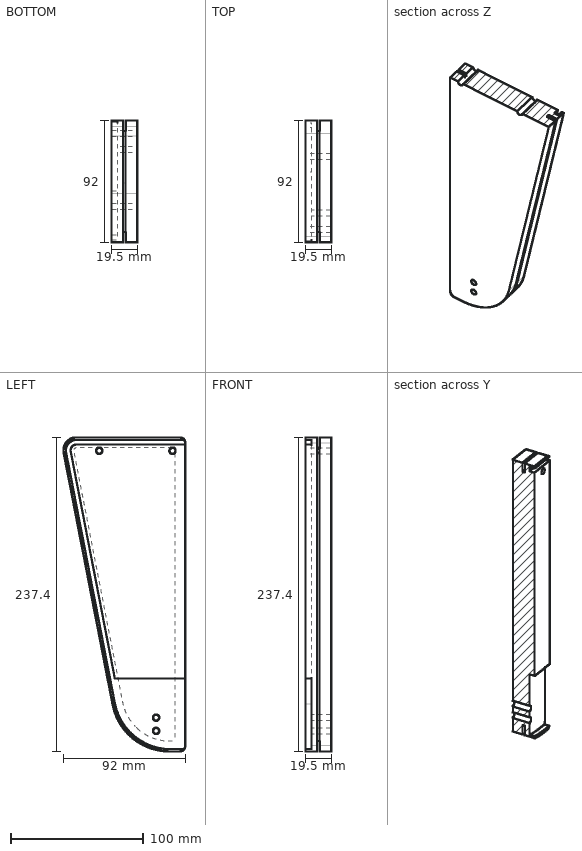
import cadquery as cq
import math

total_thickness = 19.5
total_width = 92.0
total_height = 237.4
core_gap = 2.0
plate_thickness = (total_thickness - core_gap) / 2

slant_angle = math.radians(11)
top_radius = 10.0
bottom_radius = 44.1
front_corner_radius = 4.5

rim_width = 2.0
pad_inset = 5.5
core_inset = 7.8

recess_depth = plate_thickness / 2
pad_bottom = 55.3

hole_diameter = 4.5
top_hole_drop = 10.2
top_hole_ys = (9.7, 65.0)
bottom_hole_y = 22.0
bottom_hole_z = 15.7
bottom_hole_spacing = 10.0

normal_y = math.cos(slant_angle)
normal_z = -math.sin(slant_angle)
top_center = (total_width - top_radius, total_height - top_radius)
bottom_center_z = bottom_radius
bottom_center_y = (
    top_center[0]
    + (top_radius - bottom_radius + normal_z * (top_center[1] - bottom_center_z)) / normal_y
)
bottom_center = (bottom_center_y, bottom_center_z)


def arc_point(center, radius, angle):
    """Point on an arc, with the angle measured from +Y towards +Z."""
    return (center[0] + radius * math.cos(angle), center[1] + radius * math.sin(angle))


def slab(x_start, thickness, inset, front_y):
    """Plate outline moved inwards by inset, with its straight edge at front_y."""
    upper = top_radius - inset
    lower = bottom_radius - inset
    top_middle = (math.pi / 2 - slant_angle) / 2
    bottom_middle = (-math.pi / 2 - slant_angle) / 2
    return (
        cq.Workplane("YZ", origin=(x_start, 0, 0))
        .moveTo(front_y, inset)
        .lineTo(bottom_center[0], inset)
        .threePointArc(
            arc_point(bottom_center, lower, bottom_middle),
            arc_point(bottom_center, lower, -slant_angle),
        )
        .lineTo(*arc_point(top_center, upper, -slant_angle))
        .threePointArc(
            arc_point(top_center, upper, top_middle),
            arc_point(top_center, upper, math.pi / 2),
        )
        .lineTo(front_y, total_height - inset)
        .close()
        .extrude(thickness)
    )


def plate(x_start):
    """Outer plate with rounded corners at both ends of its straight edge."""
    return slab(x_start, plate_thickness, 0, 0).edges("|X and <Y").fillet(front_corner_radius)


def face_recess():
    """Recess inside the rim, open at Y = 0, minus the raised pad."""
    pad = slab(0, recess_depth, pad_inset, 0)
    below_pad = cq.Workplane("XY").box(
        recess_depth, total_width, pad_bottom, centered=False
    )
    return slab(0, recess_depth, rim_width, 0).cut(pad.cut(below_pad))


def through_holes():
    """Two holes near the top edge and a vertical pair near the bottom."""
    centers = [(y, total_height - top_hole_drop) for y in top_hole_ys]
    centers += [(bottom_hole_y, bottom_hole_z + i * bottom_hole_spacing) for i in range(2)]
    return (
        cq.Workplane("YZ")
        .pushPoints(centers)
        .circle(hole_diameter / 2)
        .extrude(total_thickness)
    )


core = slab(plate_thickness, core_gap, core_inset, core_inset)
body = plate(0).union(plate(plate_thickness + core_gap)).union(core)
result = body.cut(face_recess()).cut(through_holes())